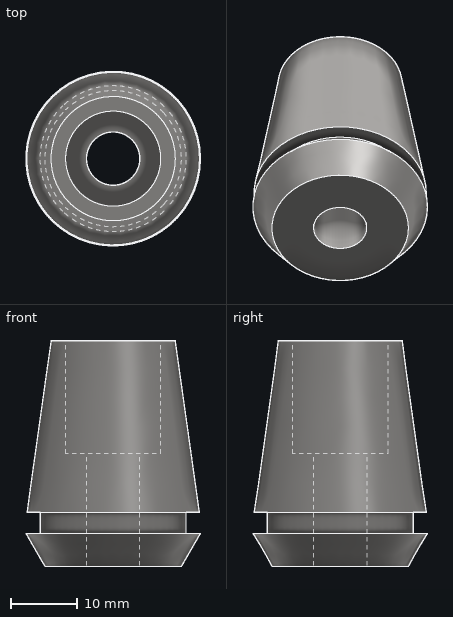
import cadquery as cq
import math

height = 34.0
flange_diameter = 26.3

flange_height = 5.0
flange_angle = 30.0

groove_diameter = 22.0
groove_width = 3.15

taper_base_diameter = 25.98
taper_angle = 8.0

through_diameter = 8.0
bore_diameter = 14.3
bore_depth = 17.0

flange_radius = flange_diameter / 2
bottom_radius = flange_radius - flange_height * math.tan(math.radians(flange_angle))
groove_radius = groove_diameter / 2
taper_base_z = flange_height + groove_width
taper_base_radius = taper_base_diameter / 2
taper_rise = height - taper_base_z
top_radius = taper_base_radius - taper_rise * math.tan(math.radians(taper_angle))
through_radius = through_diameter / 2
bore_radius = bore_diameter / 2
bore_floor_z = height - bore_depth

section = [
    (through_radius, 0),
    (bottom_radius, 0),
    (flange_radius, flange_height),
    (groove_radius, flange_height),
    (groove_radius, taper_base_z),
    (taper_base_radius, taper_base_z),
    (top_radius, height),
    (bore_radius, height),
    (bore_radius, bore_floor_z),
    (through_radius, bore_floor_z),
]

result = cq.Workplane("XZ").polyline(section).close().revolve(360, (0, 0, 0), (0, 1, 0))